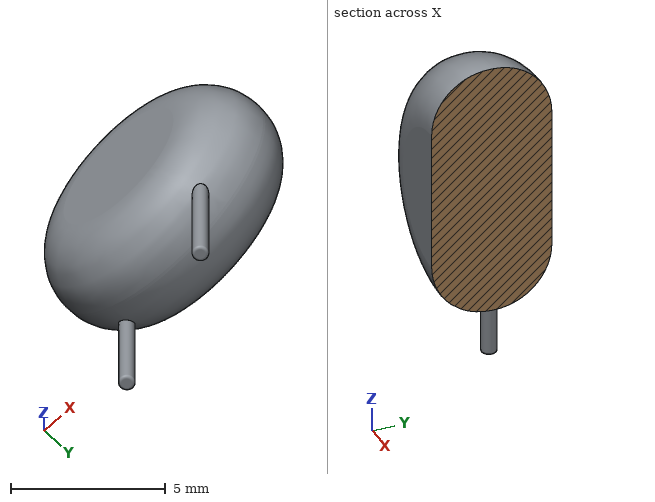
import cadquery as cq

overall_height = 12.03

body_diameter = 9.0
body_thickness = 4.2
rim_band_width = 0.1
edge_radius = (body_thickness - rim_band_width) / 2

lead_diameter = 0.54
lead_pitch_x = 5.0
lead_pitch_y = 1.8
lead_tip_radius = 0.1
lead_tip_z = body_diameter / 2 - overall_height


def make_body():
    """Round disc with both edges fully rounded between the rim band and the flat faces."""
    disc = cq.Workplane("XZ").circle(body_diameter / 2).extrude(body_thickness / 2, both=True)
    return disc.edges("%CIRCLE").fillet(edge_radius)


def make_lead(x, y):
    """Round lead from its rounded tip up to the height of the disc centre."""
    tip_plane = cq.Workplane("XY", origin=(x, y, lead_tip_z))
    lead = tip_plane.circle(lead_diameter / 2).extrude(-lead_tip_z)
    return lead.faces("<Z").edges().fillet(lead_tip_radius)


result = make_body()
for side in (-1, 1):
    result = result.union(make_lead(side * lead_pitch_x / 2, -side * lead_pitch_y / 2))